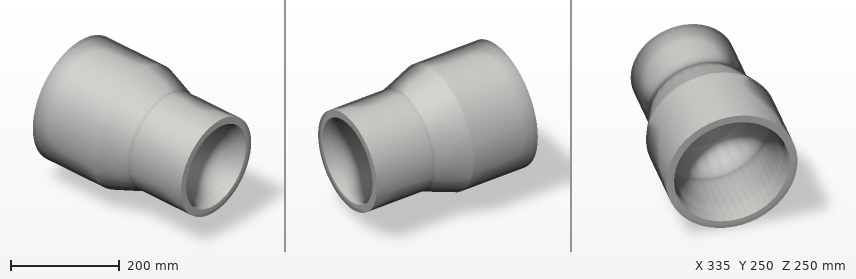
import math

import cadquery as cq

wide_outer_diameter = 250.0
narrow_outer_diameter = 200.0
wall_thickness = 14.8

total_length = 335.0
wide_length = 140.0
narrow_length = 125.0

taper_start = wide_length
taper_end = total_length - narrow_length

wide_inner_diameter = wide_outer_diameter - 2 * wall_thickness
narrow_inner_diameter = narrow_outer_diameter - 2 * wall_thickness

radius_drop = (wide_outer_diameter - narrow_outer_diameter) / 2
cone_half_angle = math.atan2(radius_drop, taper_end - taper_start)
bore_taper_shift = wall_thickness * math.tan(cone_half_angle / 2)


def reducer_body(wide_diameter, narrow_diameter, cone_start, cone_end):
    """Solid of revolution about X: wide cylinder, cone, narrow cylinder."""
    wide_radius = wide_diameter / 2
    narrow_radius = narrow_diameter / 2
    return (
        cq.Workplane("XY")
        .moveTo(0, 0)
        .lineTo(0, wide_radius)
        .lineTo(cone_start, wide_radius)
        .lineTo(cone_end, narrow_radius)
        .lineTo(total_length, narrow_radius)
        .lineTo(total_length, 0)
        .close()
        .revolve(360, (0, 0, 0), (1, 0, 0))
    )


outer_body = reducer_body(wide_outer_diameter, narrow_outer_diameter, taper_start, taper_end)
bore = reducer_body(
    wide_inner_diameter,
    narrow_inner_diameter,
    taper_start - bore_taper_shift,
    taper_end - bore_taper_shift,
)

result = outer_body.cut(bore)